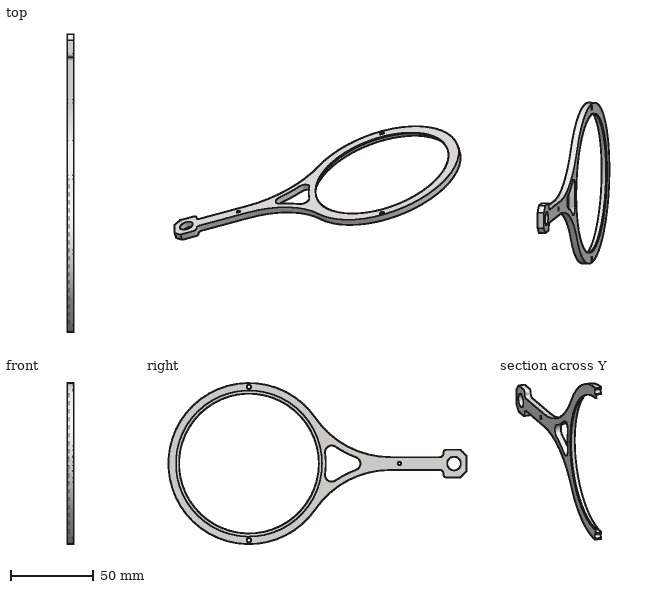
import cadquery as cq
import math

total_length = 181.0
thickness = 4.0

ring_outer_radius = 48.96
ring_inner_radius = 42.4
seat_radius = 44.3
lip_thickness = 0.81
ring_hole_offset = 46.5
ring_hole_diameter = 2.5

handle_half_width = 4.0
flare_radius = 55.0
handle_hole_from_end = 40.7
handle_hole_diameter = 2.0

tab_length = 14.1
tab_width = 17.0
tab_end_chamfer = 3.8
tab_corner_fillet = 2.0
tab_root_fillet = 2.0
tab_hole_from_end = 7.6
tab_hole_diameter = 8.1

window_flare_margin = 4.0
window_ring_radius = 46.7
window_nose_radius = 4.0
window_corner_radius = 4.0

end_y = total_length - ring_outer_radius
tab_root_y = end_y - tab_length

flare_z = handle_half_width + flare_radius
flare_y = math.sqrt((ring_outer_radius + flare_radius) ** 2 - flare_z ** 2)
flare_center = (flare_y, flare_z)
origin = (0.0, 0.0)


def toward(start, target, distance):
    """Point at a distance from start in the direction of target."""
    length = math.dist(start, target)
    return tuple(s + (t - s) * distance / length for s, t in zip(start, target))


def mirrored(point):
    """Point reflected across the handle axis."""
    return (point[0], -point[1])


def plate(sketch):
    return sketch.extrude(thickness / 2, both=True)


def through_hole(y, z, diameter):
    return plate(cq.Workplane("YZ").center(y, z).circle(diameter / 2))


def make_ring():
    return plate(cq.Workplane("YZ").circle(ring_outer_radius))


def make_handle():
    ring_tangent = toward(origin, flare_center, ring_outer_radius)
    handle_tangent = (flare_y, handle_half_width)
    chord_middle = tuple((a + b) / 2 for a, b in zip(ring_tangent, handle_tangent))
    arc_middle = toward(flare_center, chord_middle, flare_radius)
    return plate(
        cq.Workplane("YZ")
        .moveTo(*ring_tangent)
        .threePointArc(arc_middle, handle_tangent)
        .lineTo(tab_root_y, handle_half_width)
        .lineTo(tab_root_y, -handle_half_width)
        .lineTo(*mirrored(handle_tangent))
        .threePointArc(mirrored(arc_middle), mirrored(ring_tangent))
        .close()
    )


def make_tab():
    tab = plate(cq.Workplane("YZ").center(end_y - tab_length / 2, 0).rect(tab_length, tab_width))
    tab = tab.edges("|X and >Y").chamfer(tab_end_chamfer)
    return tab.edges("|X and <Y").fillet(tab_corner_fillet)


def make_seat():
    """Shallow counterbore from the +X face that leaves a thin lip on the -X face."""
    lip_x = lip_thickness - thickness / 2
    return cq.Workplane("YZ", origin=(lip_x, 0, 0)).circle(seat_radius).extrude(thickness - lip_thickness)


def make_window():
    side_radius = flare_radius + window_flare_margin

    nose_y = flare_y - math.sqrt((side_radius + window_nose_radius) ** 2 - flare_z ** 2)
    nose_center = (nose_y, 0.0)
    nose_tip = (nose_y + window_nose_radius, 0.0)
    nose_tangent = toward(nose_center, flare_center, window_nose_radius)

    ring_reach = window_ring_radius + window_corner_radius
    flare_reach = side_radius + window_corner_radius
    span = math.hypot(*flare_center)
    cosine = (ring_reach ** 2 + span ** 2 - flare_reach ** 2) / (2 * ring_reach * span)
    angle = math.atan2(flare_z, flare_y) - math.acos(cosine)
    corner_center = (ring_reach * math.cos(angle), ring_reach * math.sin(angle))
    side_tangent = toward(corner_center, flare_center, window_corner_radius)
    ring_tangent = toward(origin, corner_center, window_ring_radius)

    side_chord_middle = tuple((a + b) / 2 for a, b in zip(nose_tangent, side_tangent))
    side_middle = toward(flare_center, side_chord_middle, side_radius)
    corner_chord_middle = tuple((a + b) / 2 for a, b in zip(side_tangent, ring_tangent))
    corner_middle = toward(corner_center, corner_chord_middle, window_corner_radius)

    return plate(
        cq.Workplane("YZ")
        .moveTo(*nose_tangent)
        .threePointArc(side_middle, side_tangent)
        .threePointArc(corner_middle, ring_tangent)
        .threePointArc((window_ring_radius, 0.0), mirrored(ring_tangent))
        .threePointArc(mirrored(corner_middle), mirrored(side_tangent))
        .threePointArc(mirrored(side_middle), mirrored(nose_tangent))
        .threePointArc(nose_tip, nose_tangent)
        .close()
    )


result = make_ring().union(make_handle()).union(make_tab())

for side in (1, -1):
    root = cq.selectors.NearestToPointSelector((0, tab_root_y, side * handle_half_width))
    result = result.edges("|X").edges(root).fillet(tab_root_fillet)

result = result.cut(plate(cq.Workplane("YZ").circle(ring_inner_radius)))
result = result.cut(make_seat())
result = result.cut(make_window())
result = result.cut(through_hole(end_y - tab_hole_from_end, 0, tab_hole_diameter))
result = result.cut(through_hole(end_y - handle_hole_from_end, 0, handle_hole_diameter))
for side in (1, -1):
    result = result.cut(through_hole(0, side * ring_hole_offset, ring_hole_diameter))